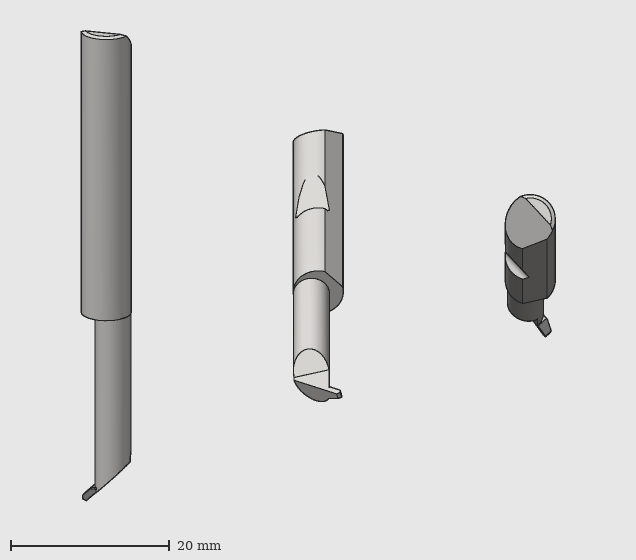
import cadquery as cq
import math

length = 63.35
shank_radius = 3.15
shank_bottom = 25.35
shank_flat_angle = 150.0
shank_flat_distance = shank_radius * math.cos(math.radians(30))
end_chamfer_width = 0.5
end_chamfer_height = 0.25
end_slope_drop = 4.5

notch_bottom = 40.4
notch_height = 8.35
notch_depth = 1.2
notch_corner_radius = 0.65

neck_radius = 2.3
neck_center_x = shank_radius - neck_radius
rake_slope_end = 6.2

tip_x = -2.4
nib_left = -2.85
nib_top_x = -1.45
nib_top_z = 2.15
nib_nose_bottom = 0.2
nib_nose_top = 0.75
nib_depth = 1.45
relief_start = 0.7
relief_run = 0.9
relief_height = 2.3

overshoot = 6.35


def prism_along_x(points):
    """Long prism across the bar, with its outline given as (y, z) points."""
    return cq.Workplane("YZ").polyline(points).close().extrude(overshoot, both=True)


def make_shank():
    shank = (
        cq.Workplane("XY").workplane(offset=shank_bottom)
        .circle(shank_radius).extrude(length - shank_bottom)
        .faces(">Z").chamfer(end_chamfer_height, end_chamfer_width)
    )
    flat = (
        cq.Workplane("XY")
        .box(overshoot, 2 * overshoot, length, centered=(False, True, False))
        .translate((shank_flat_distance, 0, 0))
        .rotate((0, 0, 0), (0, 0, 1), shank_flat_angle)
    )
    slope_y = shank_radius - end_slope_drop
    end_slope = prism_along_x([
        (shank_radius, length - end_slope_drop),
        (slope_y, length),
        (shank_radius, length),
    ])
    return shank.cut(flat).cut(end_slope).cut(make_notch())


def make_notch():
    floor_y = shank_radius - notch_depth
    notch = prism_along_x([
        (shank_radius, notch_bottom),
        (floor_y, notch_bottom),
        (shank_radius, notch_bottom + notch_height),
    ])
    return notch.edges("|X and <Y").fillet(notch_corner_radius)


def make_neck():
    neck = cq.Workplane("XY").center(neck_center_x, 0).circle(neck_radius).extrude(shank_bottom)
    underside = (
        cq.Workplane("XZ")
        .polyline([
            (tip_x - overshoot, -overshoot),
            (tip_x + overshoot, overshoot),
            (tip_x + overshoot, -overshoot),
        ])
        .close().extrude(overshoot, both=True)
    )
    rake = prism_along_x([
        (0, 0),
        (0, rake_slope_end),
        (overshoot, rake_slope_end + overshoot),
        (overshoot, 0),
    ])
    return neck.cut(underside).cut(rake)


def make_nib():
    nib = (
        cq.Workplane("XZ")
        .polyline([
            (tip_x, 0),
            (nib_left, nib_nose_bottom),
            (nib_left, nib_nose_top),
            (nib_top_x, nib_top_z),
            (tip_x + nib_top_z, nib_top_z),
        ])
        .close().extrude(nib_depth)
    )
    relief = prism_along_x([
        (-relief_start, 0),
        (-relief_start - relief_run, relief_height),
        (-overshoot, relief_height),
        (-overshoot, 0),
    ])
    return nib.cut(relief)


result = make_shank().union(make_neck()).union(make_nib())